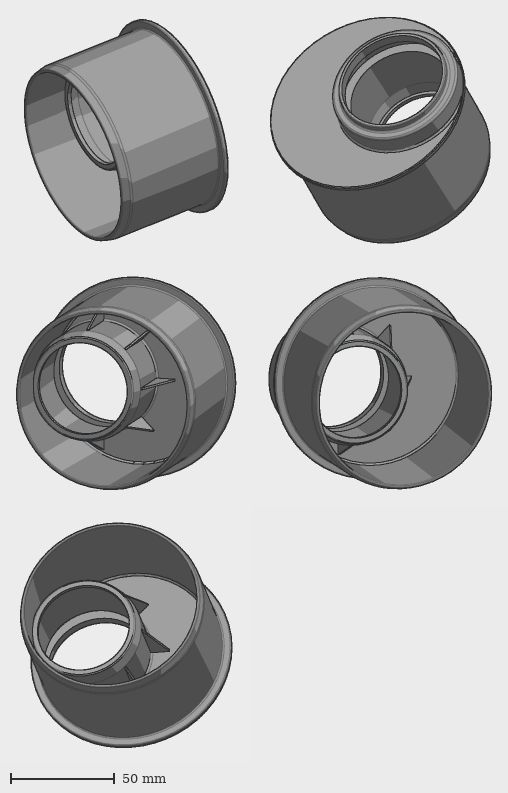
import cadquery as cq
import math


flange_radius = 98.3 / 2
spigot_radius = 90.0 / 2
spigot_bore_radius = 84.6 / 2
lead_angle = math.radians(15)
spigot_lead_length = 4.6
spigot_lead_blend = 5.3
spigot_end_round = 0.4

plate_inner_y = 54.95
plate_outer_y = 57.5
flange_edge_round = 0.5
flange_root_fillet = 0.7
plate_corner_fillet = 1.0

socket_tip_y = 22.5
socket_mouth_y = 71.5
collar_top_y = 67.8
collar_radius = 63.5 / 2
groove_radius = 60.3 / 2
neck_radius = 54.4 / 2
through_radius = 45.0 / 2
socket_taper_length = 6.6
ledge_thickness = 2.1
seat_length = 5.5
collar_round = 1.1
neck_root_fillet = 1.1
mouth_round = 0.5
tip_round = 0.7
socket_root_fillet = 1.0
socket_x = collar_radius - flange_radius

wall = collar_radius - groove_radius
socket_radius = neck_radius - wall
tip_radius = neck_radius - socket_taper_length * math.tan(lead_angle)
socket_floor_y = socket_tip_y + ledge_thickness
socket_taper_top_y = socket_tip_y + socket_taper_length
groove_top_y = collar_top_y - wall

rib_thickness = 1.0
rib_reach = 36.4
rib_height = 25.1
rib_angles = (-90, -45, 0, 45, 90)


def revolve_profile(points, axis_x=0.0):
    """Turn a closed (radius, y) outline about the line parallel to Y at axis_x."""
    solid = cq.Workplane("XY").polyline(points).close().revolve(360, (0, 0, 0), (0, 1, 0))
    return solid.translate((axis_x, 0, 0))


def round_circle(body, radius, y, size):
    """Fillet the circular edges that have the given radius and lie at height y."""
    tolerance = 0.001

    def matches(edge):
        return (
            edge.geomType() == "CIRCLE"
            and abs(edge.radius() - radius) < tolerance
            and abs(edge.Center().y - y) < tolerance
        )

    return body.newObject(body.edges().filter(matches).vals()).fillet(size)


def make_spigot():
    end_radius = spigot_radius - spigot_lead_length * math.tan(lead_angle)
    body = revolve_profile([
        (0, plate_inner_y),
        (spigot_bore_radius, plate_inner_y),
        (spigot_bore_radius, 0),
        (end_radius, 0),
        (spigot_radius, spigot_lead_length),
        (spigot_radius, plate_inner_y),
        (flange_radius, plate_inner_y),
        (flange_radius, plate_outer_y),
        (0, plate_outer_y),
    ])
    body = round_circle(body, spigot_bore_radius, plate_inner_y, plate_corner_fillet)
    body = round_circle(body, spigot_bore_radius, 0, spigot_end_round)
    body = round_circle(body, end_radius, 0, spigot_end_round)
    body = round_circle(body, spigot_radius, spigot_lead_length, spigot_lead_blend)
    body = round_circle(body, spigot_radius, plate_inner_y, flange_root_fillet)
    body = round_circle(body, flange_radius, plate_inner_y, flange_edge_round)
    return round_circle(body, flange_radius, plate_outer_y, flange_edge_round)


def make_socket_outside():
    """Solid outer form of the socket, with a disc within the plate to carry the root fillets."""
    disc_radius = collar_radius + 2 * socket_root_fillet
    body = revolve_profile([
        (0, socket_tip_y),
        (tip_radius, socket_tip_y),
        (neck_radius, socket_taper_top_y),
        (neck_radius, plate_inner_y),
        (disc_radius, plate_inner_y),
        (disc_radius, plate_outer_y),
        (collar_radius, plate_outer_y),
        (collar_radius, collar_top_y),
        (neck_radius, collar_top_y),
        (neck_radius, socket_mouth_y),
        (0, socket_mouth_y),
    ], socket_x)
    body = round_circle(body, tip_radius, socket_tip_y, tip_round)
    body = round_circle(body, neck_radius, plate_inner_y, socket_root_fillet)
    body = round_circle(body, collar_radius, plate_outer_y, socket_root_fillet)
    body = round_circle(body, collar_radius, collar_top_y, collar_round)
    body = round_circle(body, neck_radius, collar_top_y, neck_root_fillet)
    body = round_circle(body, neck_radius, socket_mouth_y, mouth_round)
    return body.intersect(make_socket_limit())


def make_socket_limit():
    """Envelope that keeps the socket inside the spigot and the rounded flange rim."""
    return revolve_profile([
        (0, 0),
        (spigot_radius, 0),
        (spigot_radius, plate_inner_y),
        (flange_radius - flange_edge_round, plate_inner_y),
        (flange_radius - flange_edge_round, plate_outer_y),
        (flange_radius, plate_outer_y),
        (flange_radius, socket_mouth_y),
        (0, socket_mouth_y),
    ])


def make_socket_inside():
    """Void of the socket: stop ledge, tapered seat, pipe bore and sealing-ring groove."""
    seat_radius = socket_radius - seat_length * math.tan(lead_angle)
    return revolve_profile([
        (0, socket_tip_y),
        (through_radius, socket_tip_y),
        (through_radius, socket_floor_y),
        (seat_radius, socket_floor_y),
        (socket_radius, socket_floor_y + seat_length),
        (socket_radius, plate_outer_y),
        (groove_radius, plate_outer_y),
        (groove_radius, groove_top_y),
        (socket_radius, groove_top_y),
        (socket_radius, socket_mouth_y),
        (0, socket_mouth_y),
    ], socket_x)


def make_rib(angle):
    """Triangular gusset whose inner end is buried in the socket wall."""
    buried_radius = neck_radius - wall / 2
    rib = (
        cq.Workplane("XY")
        .polyline([
            (buried_radius, plate_outer_y),
            (buried_radius, plate_inner_y - rib_height),
            (neck_radius, plate_inner_y - rib_height),
            (rib_reach, plate_inner_y),
            (rib_reach, plate_outer_y),
        ])
        .close()
        .extrude(rib_thickness / 2, both=True)
    )
    return rib.rotate((0, 0, 0), (0, 1, 0), -angle).translate((socket_x, 0, 0))


body = make_spigot().union(make_socket_outside())
for rib_angle in rib_angles:
    body = body.union(make_rib(rib_angle))
result = body.cut(make_socket_inside())